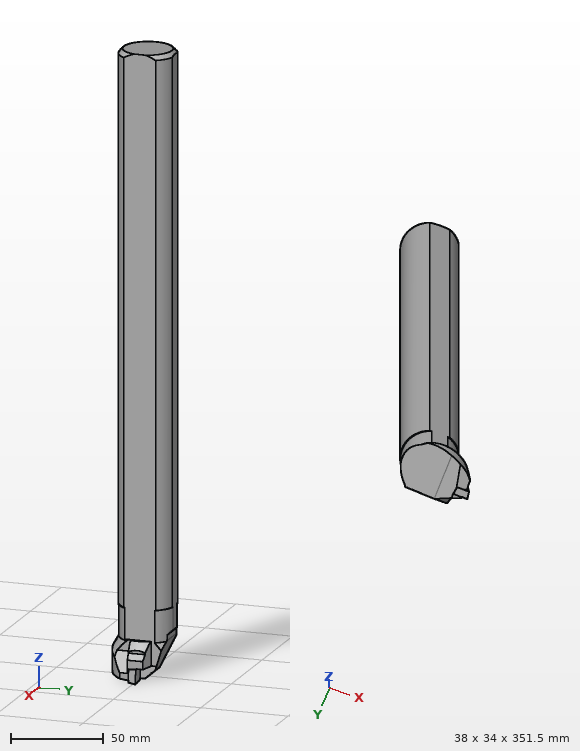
import cadquery as cq
import math

TOTAL_LENGTH = 351.5
SHANK_RADIUS = 16.0
FRONT_FLAT_DISTANCE = 15.0
SIDE_FLAT_DISTANCE = 13.5
BACK_FLAT_DISTANCE = 15.5
END_CHAMFER = 2.5

NECK_RADIUS = 15.8
NECK_TOP = 40.0

HEAD_RADIUS = 20.5
HEAD_CENTER = (2.8, 2.0)
SHOULDER_TOP = 22.5
SHOULDER_RADIUS = 15.5
SHOULDER_SLOPE = 1.8
HEAD_SIDE = 19.7
RIDGE_SIDE = 18.0
RIDGE_FRONT = -5.0
RIDGE_FOOT = 12.5
RIDGE_SHOULDER = 16.0
FLANK_TOP = (14.0, 16.0)
FLANK_BOTTOM = (HEAD_SIDE, 5.3)
CHIP_WALL_INNER = (SIDE_FLAT_DISTANCE, 6.7)
CHIP_WALL_OUTER = (HEAD_SIDE, 4.0)

RELIEF_HEIGHT = 12.0
RELIEF_BEND_X = 5.5
RELIEF_BEND = (RELIEF_BEND_X, RELIEF_HEIGHT - RELIEF_BEND_X)
RELIEF_END = (14.8, 0.7)
CLEARANCE_ANGLE = 7.0

TOTAL_WIDTH = 38.0
INSERT_TIP_X = TOTAL_WIDTH - SHANK_RADIUS
INSERT_FACE = 0.5
INSERT_EDGE = 8.0
INSERT_CORNER_ANGLE = 80.0
INSERT_LEAD_ANGLE = 5.0
INSERT_THICKNESS = 4.2

CHIP_PROFILE = [(3.0, 1.5), (8.8, 6.5), (13.7, 22.5), (13.7, 25.3), (SHANK_RADIUS, 27.8)]

SPAN = 70.3


def prism_along_x(points):
    """Prism with an outline in (Y, Z), running through the whole tool."""
    return cq.Workplane("YZ").polyline(points).close().extrude(SPAN, both=True)


def prism_along_y(points, y_start, y_end):
    """Prism with an outline in (X, Z) between two Y positions."""
    plane = cq.Workplane("XZ", origin=(0, y_end, 0))
    return plane.polyline(points).close().extrude(y_end - y_start)


def make_bar():
    """Shank and neck with its flats and the chamfered upper end."""
    shank = cq.Workplane("XY", origin=(0, 0, NECK_TOP)).circle(SHANK_RADIUS)
    shank = shank.extrude(TOTAL_LENGTH - NECK_TOP).faces(">Z").chamfer(END_CHAMFER)
    bar = shank.union(cq.Workplane("XY").circle(NECK_RADIUS).extrude(NECK_TOP))
    envelope = cq.Workplane("XY").box(
        SHANK_RADIUS + SIDE_FLAT_DISTANCE,
        BACK_FLAT_DISTANCE + FRONT_FLAT_DISTANCE,
        TOTAL_LENGTH,
        centered=False,
    )
    return bar.intersect(envelope.translate((-SHANK_RADIUS, -FRONT_FLAT_DISTANCE, 0)))


def make_head_blank():
    """Eccentric cylinder under the conical shoulder, stepped in on its +X side."""
    cylinder = cq.Workplane("XY").center(*HEAD_CENTER).circle(HEAD_RADIUS).extrude(SHOULDER_TOP)
    cone_radius = SHOULDER_RADIUS + SHOULDER_TOP / SHOULDER_SLOPE
    cone = (
        cq.Workplane("XZ")
        .polyline([(0, 0), (cone_radius, 0), (SHOULDER_RADIUS, SHOULDER_TOP), (0, SHOULDER_TOP)])
        .close()
        .revolve(360, (0, 0), (0, 1))
    )
    side_wall = [
        (-SPAN, 0),
        (HEAD_SIDE, 0),
        (HEAD_SIDE, RIDGE_FOOT),
        (RIDGE_SIDE, RIDGE_SHOULDER),
        (RIDGE_SIDE, SHOULDER_TOP),
        (-SPAN, SHOULDER_TOP),
    ]
    return cylinder.intersect(cone).intersect(prism_along_y(side_wall, -SPAN, SPAN))


def make_flank_cut():
    """Sloping relief on the +X side, in front of the ridge."""
    outline = [
        FLANK_TOP,
        FLANK_BOTTOM,
        (SPAN, FLANK_BOTTOM[1]),
        (SPAN, SHOULDER_TOP),
        (FLANK_TOP[0], SHOULDER_TOP),
    ]
    return prism_along_y(outline, -SPAN, RIDGE_FRONT)


def make_bottom_cut():
    """Everything below the 45 degree relief and the flatter plane that follows it."""
    outline = [
        (-SPAN, RELIEF_HEIGHT + SPAN),
        RELIEF_BEND,
        RELIEF_END,
        (SPAN, RELIEF_END[1]),
        (SPAN, -SPAN),
        (-SPAN, -SPAN),
    ]
    return prism_along_y(outline, -SPAN, SPAN)


def make_clearance_cut():
    """Bottom clearance that rises from the insert toward -Y."""
    rise = SPAN * math.tan(math.radians(CLEARANCE_ANGLE))
    low = RELIEF_END[1]
    return prism_along_x([(SPAN, low), (0, low), (-SPAN, low + rise), (-SPAN, -SPAN), (SPAN, -SPAN)])


def make_chip_cut():
    """Chip space on the +Y side of the head."""
    outline = [
        (INSERT_FACE, 0),
        *CHIP_PROFILE,
        (SPAN, CHIP_PROFILE[-1][1]),
        (SPAN, 0),
    ]
    return prism_along_x(outline)


def make_side_chip_cut():
    """Slanting wall that limits the head beyond the +X flat."""
    outline = [
        CHIP_WALL_INNER,
        CHIP_WALL_OUTER,
        (SPAN, CHIP_WALL_OUTER[1]),
        (SPAN, SPAN),
        (CHIP_WALL_INNER[0], SPAN),
    ]
    return cq.Workplane("XY").polyline(outline).close().extrude(SHOULDER_TOP)


def insert_outline():
    """Corners of the rhombic rake face in (X, Z), starting at the cutting corner."""
    corner = cq.Vector(INSERT_TIP_X, 0)
    edges = []
    for angle in (90 + INSERT_LEAD_ANGLE, 90 + INSERT_LEAD_ANGLE + INSERT_CORNER_ANGLE):
        direction = math.radians(angle)
        edges.append(cq.Vector(math.cos(direction), math.sin(direction)) * INSERT_EDGE)
    corners = [corner, corner + edges[0], corner + edges[0] + edges[1], corner + edges[1]]
    return [(point.x, point.y) for point in corners]


def make_insert():
    """Plate whose sides taper inward behind the rake face."""
    plane = cq.Workplane("XZ", origin=(0, INSERT_FACE, 0))
    return plane.polyline(insert_outline()).close().extrude(INSERT_THICKNESS, taper=CLEARANCE_ANGLE)


def make_holder(insert):
    holder = make_bar().union(make_head_blank().cut(make_flank_cut()).cut(make_side_chip_cut()))
    for cut in (make_bottom_cut(), make_clearance_cut(), make_chip_cut()):
        holder = holder.cut(cut)
    open_pocket = prism_along_y(insert_outline(), INSERT_FACE, SPAN)
    return holder.cut(open_pocket).cut(insert)


insert = make_insert()
holder = make_holder(insert)
result = cq.Compound.makeCompound([*holder.solids().vals(), insert.val()])